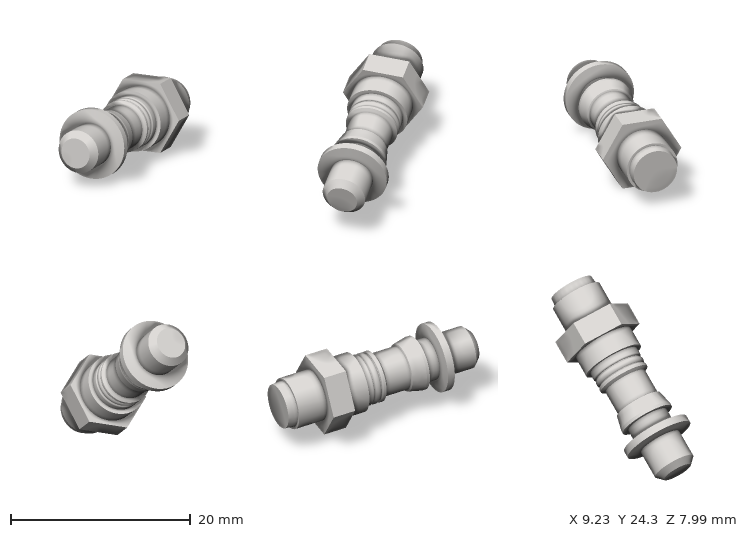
import cadquery as cq
import math

length = 24.3
hex_corners = 9.23

tip_radius = 1.73
tip_chamfer_length = 0.75
shaft_radius = 2.45

flange_start = 3.99
flange_end = 5.32
flange_cone_length = 0.25
flange_radius = hex_corners / 2 * math.cos(math.pi / 6)
flange_hub_radius = 2.55

barb_start = 6.9
barb_land_length = 0.36
barb_radius = 3.13
barb_taper_end = 8.9
barb_small_radius = 2.77
barb_end = 9.0

neck_radius = 2.53
neck_end = 11.95
body_radius = 5.95 / 2
body_start = 12.25
rim_fillet = 0.2
groove_start = 12.7
groove_width = 0.97
groove_end = groove_start + groove_width
groove_radius = body_radius - rim_fillet
ring_radius = groove_width / 2
ring_center = groove_start + ring_radius

shoulder_start = 14.65
shoulder_radius = 6.97 / 2
hex_start = 17.0
hex_end = 19.7
shank_end = 23.18
spigot_base_radius = 2.67
spigot_end_radius = 2.55


def rim_midpoint(wall, direction):
    """Middle of a rim fillet beside a groove wall; direction points away from the groove."""
    offset = rim_fillet * math.sqrt(0.5)
    return (groove_radius + offset, wall + direction * (rim_fillet - offset))


def turned_body():
    """Revolve the stepped profile, given as (radius, position) points."""
    front_profile = [
        (0, 0),
        (tip_radius, 0),
        (shaft_radius, tip_chamfer_length),
        (shaft_radius, flange_start),
        (flange_hub_radius, flange_start),
        (flange_radius, flange_start + flange_cone_length),
        (flange_radius, flange_end - flange_cone_length),
        (flange_hub_radius, flange_end),
        (shaft_radius, flange_end),
        (shaft_radius, barb_start),
        (barb_radius, barb_start),
        (barb_radius, barb_start + barb_land_length),
        (barb_small_radius, barb_taper_end),
        (neck_radius, barb_end),
        (neck_radius, neck_end),
        (body_radius, body_start),
        (body_radius, groove_start - rim_fillet),
    ]
    floor_height = groove_radius - (body_radius - ring_radius)
    half_exposed = math.sqrt(ring_radius**2 - floor_height**2)
    outline = (
        cq.Workplane("XY")
        .polyline(front_profile)
        .threePointArc(rim_midpoint(groove_start, -1), (groove_radius, groove_start))
        .lineTo(groove_radius, ring_center - half_exposed)
        .threePointArc((body_radius, ring_center), (groove_radius, ring_center + half_exposed))
        .lineTo(groove_radius, groove_end)
        .threePointArc(rim_midpoint(groove_end, 1), (body_radius, groove_end + rim_fillet))
        .lineTo(body_radius, shoulder_start)
        .lineTo(shoulder_radius, shoulder_start)
        .lineTo(shoulder_radius, hex_start)
        .lineTo(body_radius, hex_start)
        .lineTo(body_radius, shank_end)
        .lineTo(spigot_base_radius, shank_end)
        .lineTo(spigot_end_radius, length)
        .lineTo(0, length)
        .close()
    )
    return outline.revolve(360, (0, 0, 0), (0, 1, 0))


def hexagon():
    """Hexagon with corners on +X and -X."""
    start_plane = cq.Workplane("XZ", origin=(0, hex_start, 0))
    return start_plane.polygon(6, hex_corners).extrude(hex_start - hex_end)


fitting = turned_body().union(hexagon())
result = fitting.translate((0, -length / 2, 0))